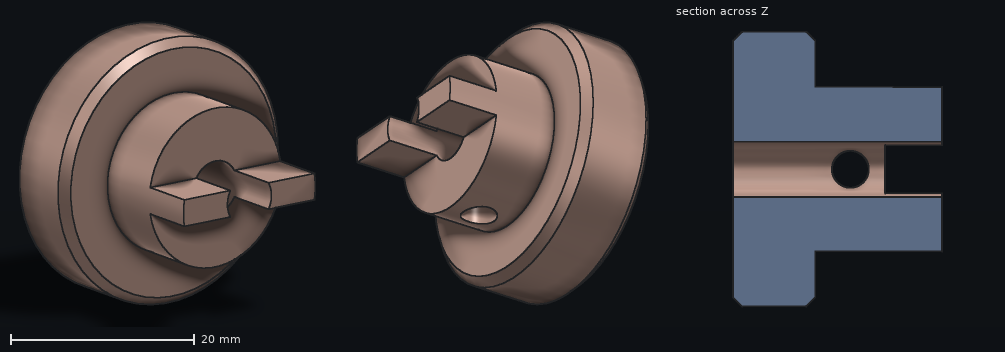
import cadquery as cq

flange_diameter = 30.0
flange_length = 9.0
flange_chamfer = 1.0
hub_diameter = 18.0
hub_length = 7.6
tang_length = 6.2
tang_thickness = 3.0
bore_diameter = 6.0
set_screw_diameter = 4.0

hub_end = flange_length + hub_length
total_length = hub_end + tang_length
set_screw_x = flange_length + hub_length / 2


def axial_cylinder(diameter, start, length):
    """Cylinder on the X axis, beginning at x = start."""
    return cq.Workplane("YZ", origin=(start, 0, 0)).circle(diameter / 2).extrude(length)


def flange():
    """Large disc with both rims chamfered."""
    return axial_cylinder(flange_diameter, 0, flange_length).edges().chamfer(flange_chamfer)


def tang():
    """Flat drive blade across the hub end, rounded to the hub diameter."""
    blade = cq.Workplane("XY").box(
        tang_length, hub_diameter, tang_thickness, centered=(False, True, True)
    ).translate((hub_end, 0, 0))
    return blade.intersect(axial_cylinder(hub_diameter, hub_end, tang_length))


def set_screw_hole():
    """Radial hole from the bottom of the hub into the bore."""
    return (
        cq.Workplane("XY", origin=(set_screw_x, 0, 0))
        .circle(set_screw_diameter / 2)
        .extrude(-hub_diameter / 2)
    )


body = flange().union(axial_cylinder(hub_diameter, flange_length, hub_length)).union(tang())

bore = axial_cylinder(bore_diameter, 0, total_length)
result = body.cut(bore).cut(set_screw_hole())